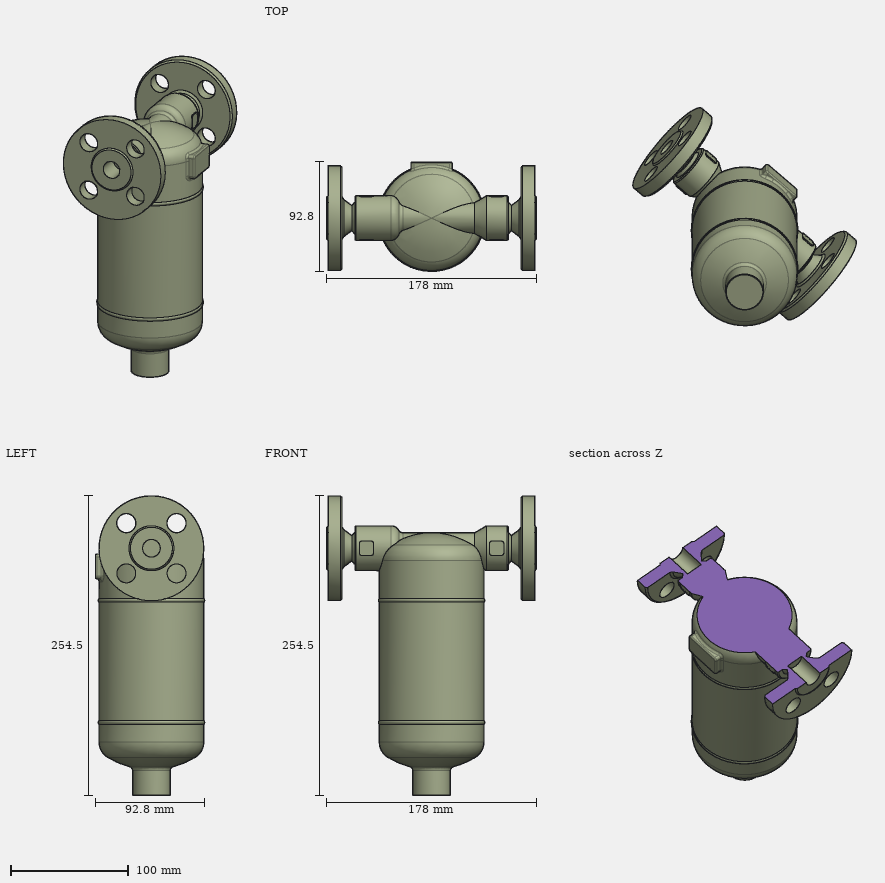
import cadquery as cq
import math


vessel_r = 44.5
shell_bottom_z = -164.5
knuckle_r = 15.3
crown_r = 71.3
bead_z = (-44.3, -147.9)
bead_width = 3.0
bead_height = 0.8

boss_r = 16.0
boss_bottom_z = -210.0
boss_edge_chamfer = 0.5
boss_fillet = 3.3

run_r = 13.2
socket_r = 19.0
socket_end_x = 65.2
socket_end_chamfer = 1.0
inlet_shoulder_x = -34.4
inlet_shoulder_r = 7.6
inlet_root_r = 3.8
outlet_cone_start_x = 36.6
outlet_cone_end_x = 46.5

overall_x = 178.0
flange_r = 44.5
raised_face_r = 17.8
raised_face_root_r = 19.0
raised_face_height = 1.3
flange_back_x = 75.8
flange_chamfer = 1.5
hub_r = 15.8
hub_root_r = 18.0
hub_root_width = 1.5
neck_d = 21.6
neck_x = 67.7
weld_r = 13.7
bore_d = 15.0
bolt_hole_d = 16.0
bolt_circle_d = 60.3
bolt_count = 4

pad_size = 12.2
pad_corner_r = 2.3
pad_x = (-55.2, 55.2)

plate_width = 35.0
plate_top_z = -4.8
plate_bottom_z = -26.0
plate_y = 47.5
plate_depth = 15.3
plate_corner_r = 2.5
plate_edge_r = 1.3
plate_base_fillet = 2.5

flange_face_x = overall_x / 2 - raised_face_height


def head_points():
    """Radius and height above the shell end of the knuckle middle, the knuckle end and the crown."""
    centre_drop = math.sqrt((crown_r - knuckle_r) ** 2 - (vessel_r - knuckle_r) ** 2)
    end_angle = math.atan2(centre_drop, vessel_r - knuckle_r)

    def on_knuckle(angle):
        radius = vessel_r - knuckle_r + knuckle_r * math.cos(angle)
        return radius, knuckle_r * math.sin(angle)

    return on_knuckle(end_angle / 2), on_knuckle(end_angle), crown_r - centre_drop


def crown_surface_height(radius):
    """Height of the crown surface above the shell end at a given radius."""
    crown_height = head_points()[2]
    return crown_height - crown_r + math.sqrt(crown_r**2 - radius**2)


shell_top_z = run_r - crown_surface_height(0)


def make_vessel():
    """Shell with two torispherical heads, revolved about Z."""
    knuckle_mid, knuckle_end, crown_height = head_points()
    crown_mid_r = knuckle_end[0] / 2
    crown_mid_height = crown_surface_height(crown_mid_r)

    def top(radius, height):
        return radius, shell_top_z + height

    def bottom(radius, height):
        return radius, shell_bottom_z - height

    profile = (
        cq.Workplane("XZ")
        .moveTo(*bottom(0, crown_height))
        .threePointArc(bottom(crown_mid_r, crown_mid_height), bottom(*knuckle_end))
        .threePointArc(bottom(*knuckle_mid), bottom(vessel_r, 0))
        .lineTo(*top(vessel_r, 0))
        .threePointArc(top(*knuckle_mid), top(*knuckle_end))
        .threePointArc(top(crown_mid_r, crown_mid_height), top(0, crown_height))
        .close()
    )
    return profile.revolve(360, (0, 0, 0), (0, 1, 0))


def make_bead(z):
    """Rounded weld bead around the shell."""
    profile = (
        cq.Workplane("XZ")
        .moveTo(0, z - bead_width / 2)
        .lineTo(vessel_r, z - bead_width / 2)
        .threePointArc((vessel_r + bead_height, z), (vessel_r, z + bead_width / 2))
        .lineTo(0, z + bead_width / 2)
        .close()
    )
    return profile.revolve(360, (0, 0, 0), (0, 1, 0))


def make_drain_boss():
    """Cylindrical boss that reaches up into the bottom head."""
    return (
        cq.Workplane("XY", origin=(0, 0, boss_bottom_z))
        .circle(boss_r)
        .extrude(shell_bottom_z - boss_bottom_z)
        .faces("<Z")
        .chamfer(boss_edge_chamfer)
    )


def make_pipe_run():
    """Inlet socket, plain pipe and outlet socket, revolved about X."""
    shoulder_centre_r = socket_r - inlet_shoulder_r
    root_centre_r = run_r + inlet_root_r
    arc_angle = math.acos((root_centre_r - shoulder_centre_r) / (inlet_shoulder_r + inlet_root_r))
    root_end_x = inlet_shoulder_x + (inlet_shoulder_r + inlet_root_r) * math.sin(arc_angle)

    def on_shoulder(angle):
        x = inlet_shoulder_x + inlet_shoulder_r * math.sin(angle)
        return x, shoulder_centre_r + inlet_shoulder_r * math.cos(angle)

    def on_root(angle):
        return root_end_x - inlet_root_r * math.sin(angle), root_centre_r - inlet_root_r * math.cos(angle)

    profile = (
        cq.Workplane("XZ")
        .moveTo(-socket_end_x, 0)
        .lineTo(-socket_end_x, socket_r - socket_end_chamfer)
        .lineTo(-socket_end_x + socket_end_chamfer, socket_r)
        .lineTo(inlet_shoulder_x, socket_r)
        .threePointArc(on_shoulder(arc_angle / 2), on_shoulder(arc_angle))
        .threePointArc(on_root(arc_angle / 2), (root_end_x, run_r))
        .lineTo(outlet_cone_start_x, run_r)
        .lineTo(outlet_cone_end_x, socket_r)
        .lineTo(socket_end_x - socket_end_chamfer, socket_r)
        .lineTo(socket_end_x, socket_r - socket_end_chamfer)
        .lineTo(socket_end_x, 0)
        .close()
    )
    return profile.revolve(360, (0, 0, 0), (1, 0, 0))


def make_flange():
    """Weld-neck flange on the +X end, with its raised face, bore and bolt holes."""
    profile = (
        cq.Workplane("XZ")
        .moveTo(socket_end_x, 0)
        .lineTo(socket_end_x, weld_r)
        .lineTo(neck_x, neck_d / 2)
        .lineTo(flange_back_x - hub_root_width, hub_r)
        .lineTo(flange_back_x, hub_root_r)
        .lineTo(flange_back_x, flange_r - flange_chamfer)
        .lineTo(flange_back_x + flange_chamfer, flange_r)
        .lineTo(flange_face_x, flange_r)
        .lineTo(flange_face_x, raised_face_root_r)
        .lineTo(overall_x / 2, raised_face_r)
        .lineTo(overall_x / 2, 0)
        .close()
    )
    flange = profile.revolve(360, (0, 0, 0), (1, 0, 0))
    face = cq.Workplane("YZ", origin=(overall_x / 2, 0, 0))
    bore = face.circle(bore_d / 2).extrude(socket_end_x - overall_x / 2)
    bolt_holes = (
        face.polarArray(bolt_circle_d / 2, 180 / bolt_count, 360, bolt_count)
        .circle(bolt_hole_d / 2)
        .extrude(flange_back_x - overall_x / 2)
    )
    return flange.cut(bore).cut(bolt_holes)


def make_pads(x):
    """Rounded square pads, flush with the widest front and back points of a socket."""
    return (
        cq.Workplane("XY", origin=(x, 0, 0))
        .box(pad_size, 2 * socket_r, pad_size)
        .edges("|Y")
        .fillet(pad_corner_r)
    )


def make_nameplate():
    """Flat plate with rounded corners and a softened outer edge."""
    return (
        cq.Workplane("XY", origin=(0, plate_y - plate_depth / 2, (plate_top_z + plate_bottom_z) / 2))
        .box(plate_width, plate_depth, plate_top_z - plate_bottom_z)
        .edges("|Y")
        .fillet(plate_corner_r)
        .faces(">Y")
        .edges()
        .fillet(plate_edge_r)
    )


vessel = make_vessel().union(make_drain_boss())

ring_z = shell_bottom_z - crown_surface_height(boss_r)
ring_selector = cq.selectors.BoxSelector(
    (-vessel_r, -vessel_r, ring_z - boss_fillet),
    (vessel_r, vessel_r, ring_z + boss_fillet),
)
vessel = vessel.edges(ring_selector).fillet(boss_fillet)

vessel = vessel.union(make_nameplate())
base_selector = cq.selectors.BoxSelector(
    (-plate_width, 0, plate_bottom_z - plate_corner_r),
    (plate_width, vessel_r, plate_top_z + plate_corner_r),
)
plate_corner_edges = cq.selectors.ParallelDirSelector(cq.Vector(0, 1, 0))
vessel = vessel.edges(base_selector - plate_corner_edges).fillet(plate_base_fillet)

for z in bead_z:
    vessel = vessel.union(make_bead(z))

outlet_flange = make_flange()
result = vessel.union(make_pipe_run())
for x in pad_x:
    result = result.union(make_pads(x))
result = result.union(outlet_flange).union(outlet_flange.mirror("YZ"))